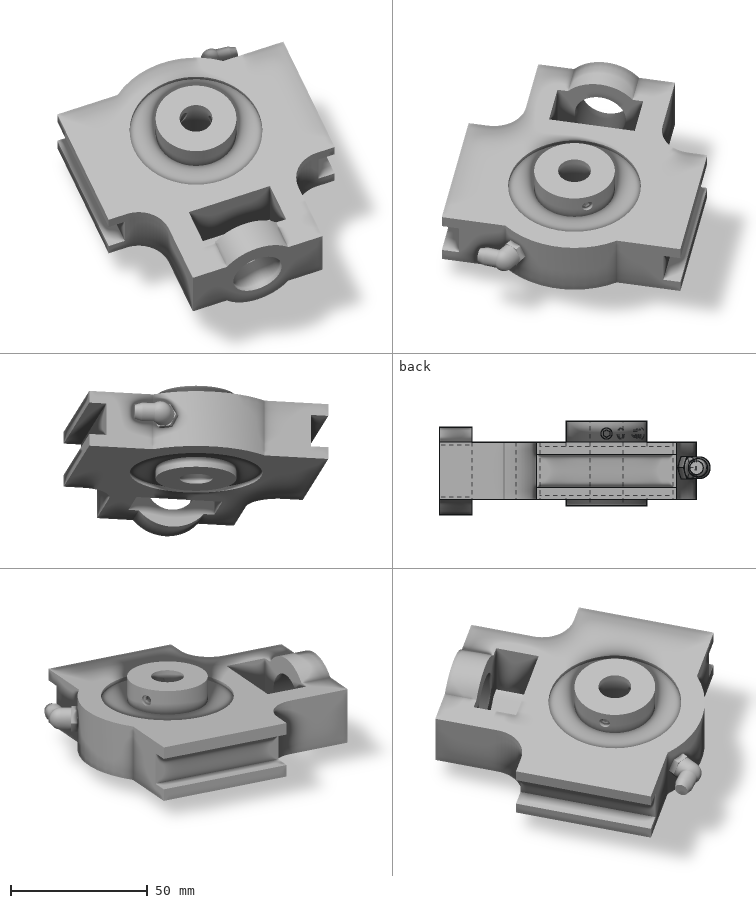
import cadquery as cq
import math


THICKNESS = 21.0
BODY_WIDTH = 51.1
BODY_LENGTH = 89.0
NOSE_RADIUS = 32.9
ARM_END = 61.2
ARM_WIDTH = 51.0
ARM_FILLET = 11.9
GUIDE_WIDTH = 12.0
GUIDE_DEPTH = 6.3

LUG_LENGTH = 12.0
LUG_DIAMETER = 32.0
LUG_HOLE_DIAMETER = 19.0
WINDOW_LENGTH = 16.1
WINDOW_WIDTH = 31.9

SEAT_DIAMETER = 48.6
SEAT_RECESS = 1.5
RING_DIAMETER = 29.6
RING_TOP = 18.3
RING_BOTTOM = -12.8
BORE_DIAMETER = 12.0
SET_SCREW_DIAMETER = 4.1
SET_SCREW_HEIGHT = 13.7
SET_SCREW_ANGLES = (90, 210)
SET_SCREW_INNER_END = 6.3
SET_SCREW_OUTER_END = 13.5
SOCKET_ACROSS_FLATS = 2.4
SOCKET_DEPTH = 2.0
SOCKET_TURN = 30

NIPPLE_ANGLE = 150
NIPPLE_BEND = 66
NIPPLE_HEIGHT = 1.2
HEX_ACROSS_FLATS = 8.1
HEX_START = 32.7
HEX_END = 35.2
ROOT_DEPTH = 3.0
ELBOW_DISTANCE = 39.2
ELBOW_DIAMETER = 8.0
SPOUT_DIAMETER = 6.6
SPOUT_TIP_DIAMETER = 5.0
SPOUT_LENGTH = 9.5
SPOUT_TIP_LENGTH = 2.7


def box_between(x_start, x_end, y_width, y_centre=0, z_height=THICKNESS):
    """Box spanning an X range, centred on Z = 0."""
    length = x_end - x_start
    return cq.Workplane("XY").box(length, y_width, z_height).translate((x_start + length / 2, y_centre, 0))


def radial_plane(angle, height, distance=0.0):
    """Plane facing outward at an angle about Z, at a distance from the axis."""
    direction = (math.cos(math.radians(angle)), math.sin(math.radians(angle)), 0)
    origin = (distance * direction[0], distance * direction[1], height)
    return cq.Plane(origin=origin, xDir=(-direction[1], direction[0], 0), normal=direction)


def make_housing_plate():
    half_width = BODY_WIDTH / 2
    plate = box_between(-half_width, half_width, BODY_LENGTH)
    plate = plate.union(box_between(0, ARM_END, ARM_WIDTH))
    inside_corners = cq.selectors.BoxSelector(
        (0, -ARM_WIDTH / 2 - ARM_FILLET, -THICKNESS),
        (half_width + ARM_FILLET, ARM_WIDTH / 2 + ARM_FILLET, THICKNESS),
    )
    plate = plate.edges("|Z").edges(inside_corners).fillet(ARM_FILLET)
    nose = cq.Workplane("XY").circle(NOSE_RADIUS).extrude(THICKNESS / 2, both=True)
    nose = nose.intersect(box_between(-NOSE_RADIUS, 0, 2 * NOSE_RADIUS))
    return plate.union(nose)


def cut_guides(housing):
    """Cut the guide groove along each Y side."""
    for side in (-1, 1):
        groove_centre = side * (BODY_LENGTH - GUIDE_DEPTH) / 2
        housing = housing.cut(
            box_between(-BODY_WIDTH / 2, BODY_WIDTH / 2, GUIDE_DEPTH, groove_centre, GUIDE_WIDTH)
        )
    return housing


def add_lug(housing):
    lug_start = ARM_END - LUG_LENGTH
    lug_plane = cq.Workplane("YZ", origin=(lug_start, 0, 0))
    housing = housing.union(lug_plane.circle(LUG_DIAMETER / 2).extrude(LUG_LENGTH))
    housing = housing.cut(lug_plane.circle(LUG_HOLE_DIAMETER / 2).extrude(LUG_LENGTH))
    return housing.cut(box_between(lug_start - WINDOW_LENGTH, lug_start, WINDOW_WIDTH))


def make_nipple():
    """Hexagon, elbow and tapered spout of the grease nipple."""
    hex_corners = HEX_ACROSS_FLATS / math.cos(math.pi / 6)
    hexagon = cq.Workplane(radial_plane(NIPPLE_ANGLE, NIPPLE_HEIGHT, HEX_START))
    hexagon = hexagon.polygon(6, hex_corners).extrude(HEX_END - HEX_START)

    root_start = NOSE_RADIUS - ROOT_DEPTH
    root = cq.Workplane(radial_plane(NIPPLE_ANGLE, NIPPLE_HEIGHT, root_start))
    root = root.circle(SPOUT_DIAMETER / 2).extrude(HEX_START - root_start)

    elbow_radius = ELBOW_DIAMETER / 2
    neck_length = ELBOW_DISTANCE - HEX_END
    neck_plane = radial_plane(NIPPLE_ANGLE, NIPPLE_HEIGHT, HEX_END)
    profile_plane = cq.Plane(origin=neck_plane.origin, xDir=neck_plane.xDir, normal=(0, 0, -1))
    diagonal = elbow_radius * math.sqrt(0.5)
    elbow = (
        cq.Workplane(profile_plane)
        .lineTo(elbow_radius, 0)
        .lineTo(elbow_radius, neck_length)
        .threePointArc((diagonal, neck_length + diagonal), (0, neck_length + elbow_radius))
        .close()
        .revolve(360, (0, 0), (0, 1))
    )

    elbow_centre = radial_plane(NIPPLE_ANGLE, NIPPLE_HEIGHT, ELBOW_DISTANCE).origin
    spout_angle = math.radians(NIPPLE_ANGLE - NIPPLE_BEND)
    spout_axis = cq.Vector(math.cos(spout_angle), math.sin(spout_angle), 0)
    shoulder = SPOUT_LENGTH - SPOUT_TIP_LENGTH
    spout = cq.Solid.makeCylinder(SPOUT_DIAMETER / 2, shoulder, elbow_centre, spout_axis)
    tip = cq.Solid.makeCone(
        SPOUT_DIAMETER / 2,
        SPOUT_TIP_DIAMETER / 2,
        SPOUT_TIP_LENGTH,
        elbow_centre + spout_axis * shoulder,
        spout_axis,
    )
    return root.union(hexagon).union(elbow).union(spout).union(tip)


def make_housing():
    housing = add_lug(cut_guides(make_housing_plate()))
    housing = housing.union(make_nipple())
    seat = cq.Workplane("XY").circle(SEAT_DIAMETER / 2).extrude(THICKNESS / 2, both=True)
    return housing.cut(seat)


def make_insert():
    """Outer ring, long inner ring with its bore, and recessed set screws as one solid."""
    socket_corners = SOCKET_ACROSS_FLATS / math.cos(math.pi / 6)
    insert = cq.Workplane("XY").circle(SEAT_DIAMETER / 2).extrude(THICKNESS / 2 - SEAT_RECESS, both=True)
    ring_plane = cq.Workplane("XY", origin=(0, 0, RING_BOTTOM))
    ring_length = RING_TOP - RING_BOTTOM
    insert = insert.union(ring_plane.circle(RING_DIAMETER / 2).extrude(ring_length))
    insert = insert.cut(ring_plane.circle(BORE_DIAMETER / 2).extrude(ring_length))
    for angle in SET_SCREW_ANGLES:
        hole = cq.Workplane(radial_plane(angle, SET_SCREW_HEIGHT))
        insert = insert.cut(hole.circle(SET_SCREW_DIAMETER / 2).extrude(SET_SCREW_INNER_END))
        recess = cq.Workplane(radial_plane(angle, SET_SCREW_HEIGHT, SET_SCREW_OUTER_END))
        insert = insert.cut(recess.circle(SET_SCREW_DIAMETER / 2).extrude(RING_DIAMETER / 2))
        socket = recess.transformed(rotate=(0, 0, SOCKET_TURN)).polygon(6, socket_corners)
        insert = insert.cut(socket.extrude(-SOCKET_DEPTH))
    return insert


housing = make_housing()
insert = make_insert()

result = cq.Compound.makeCompound([housing.val(), insert.val()])